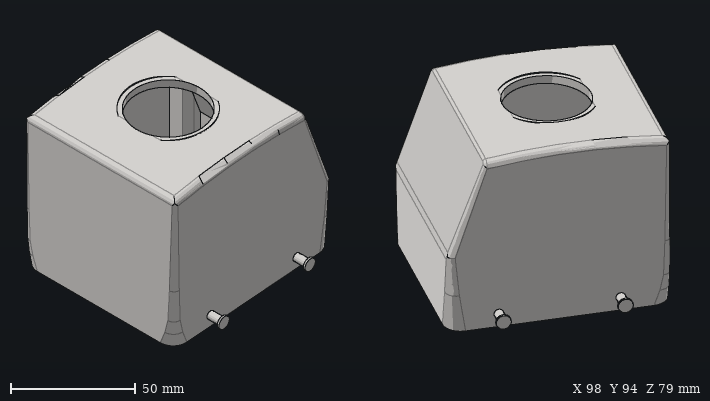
import cadquery as cq
import math

OVERALL_LENGTH = 98.0
BODY_WIDTH = 82.7
BASE_DEPTH = 94.0
WALL = 4.0
SIDE_WALL = 3.5

SHOULDER_Y = 46.6
SHOULDER_Z = 34.3
SHOULDER_RADIUS = 9.8
SLOPE_ANGLE = 20.2
FRONT_DRAFT = 0.7
ROOF_PEAK_Z = 79.0
ROOF_PEAK_Y = -5.9
ROOF_RADIUS = 299.9

ROOF_EDGE_RADIUS = 3.0
REAR_ROOF_RADIUS = 1.5

FRONT_CORNERS = ((0, 7.6), (6.9, 5.1), (13.7, 3.5), (29.4, 2.8), (ROOF_PEAK_Z, 1.6))
REAR_CORNERS = ((0, 7.6), (16.7, 4.9), (SHOULDER_Z, 2.9), (ROOF_PEAK_Z, 1.6))

ENTRY_DIAMETER = 37.0
SPOT_FACE_DIAMETER = 41.4
SPOT_FACE_DEPTH = 0.5

PILLAR_WIDTH = 10.5
PILLAR_FRONT_Y = 35.6
PILLAR_RADIUS = 3.3

PIN_DIAMETER = 4.0
PIN_HEAD_DIAMETER = 6.3
PIN_HEAD_THICKNESS = 1.0
PIN_Y = 25.5
PIN_Z = 6.1
PIN_ROOT = SIDE_WALL / 2

CUT_MARGIN = 1.0

HALF_WIDTH = BODY_WIDTH / 2
HALF_DEPTH = BASE_DEPTH / 2
SLOPE_RUN = math.tan(math.radians(SLOPE_ANGLE))


def roof_z(y):
    """Height of the crowned roof at a given Y."""
    centre_z = ROOF_PEAK_Z - ROOF_RADIUS
    return centre_z + math.sqrt(ROOF_RADIUS**2 - (y - ROOF_PEAK_Y) ** 2)


def front_y(z):
    """Y of the drafted front wall at a given height."""
    return -HALF_DEPTH + FRONT_DRAFT * z / ROOF_PEAK_Z


def slope_y(z):
    """Y of the rear slope at a given height."""
    return SHOULDER_Y - SLOPE_RUN * (z - SHOULDER_Z)


def rear_y(z):
    """Y of the rear wall: drafted up to the shoulder, sloped above it."""
    if z > SHOULDER_Z:
        return slope_y(z)
    return HALF_DEPTH + (SHOULDER_Y - HALF_DEPTH) * z / SHOULDER_Z


def meet_roof(wall_y):
    """Point where a wall runs into the roof, closed in on by repetition."""
    z = ROOF_PEAK_Z
    for _ in range(20):
        z = roof_z(wall_y(z))
    return wall_y(z), z


ROOF_FRONT = meet_roof(front_y)
ROOF_REAR = meet_roof(slope_y)


def side_prism(wall=0, side_wall=0):
    """Hood shape with square edges, moved inward by the given walls except at the base."""
    bottom_z = -wall
    outline = (
        cq.Workplane("YZ")
        .moveTo(front_y(bottom_z), bottom_z)
        .lineTo(*ROOF_FRONT)
        .threePointArc((ROOF_PEAK_Y, ROOF_PEAK_Z), ROOF_REAR)
        .lineTo(SHOULDER_Y, SHOULDER_Z)
        .lineTo(rear_y(bottom_z), bottom_z)
        .close()
    )
    if wall:
        outline = outline.offset2D(-wall, "intersection")
    return outline.extrude(HALF_WIDTH - side_wall, both=True)


def edge_near(solid, y, z):
    """The edge along X that lies closest to a point of the side profile."""
    return solid.edges("|X").edges(cq.NearestToPointSelector((0, y, z)))


def make_block():
    """Solid hood with its shoulder and roof edges rounded."""
    block = side_prism()
    block = edge_near(block, SHOULDER_Y, SHOULDER_Z).fillet(SHOULDER_RADIUS)
    front_edge = edge_near(block, *ROOF_FRONT)
    crown_edges = block.edges(cq.selectors.RadiusNthSelector(-1))
    block = block.newObject(front_edge.vals() + crown_edges.vals()).fillet(ROOF_EDGE_RADIUS)
    return edge_near(block, *ROOF_REAR).fillet(REAR_ROOF_RADIUS)


def corner_section(wall_y, z, radius):
    """Waste outside a rounded corner at one height, on the +X side."""
    outward = math.copysign(1, wall_y)
    tangent_x = HALF_WIDTH - radius
    tangent_y = wall_y - outward * radius
    diagonal = radius * math.sqrt(0.5)
    arc_middle = (tangent_x + diagonal, tangent_y + outward * diagonal)
    clear_x = HALF_WIDTH + CUT_MARGIN
    clear_y = wall_y + outward * CUT_MARGIN
    return (
        cq.Workplane("XY", origin=(0, 0, z))
        .moveTo(tangent_x, wall_y)
        .threePointArc(arc_middle, (HALF_WIDTH, tangent_y))
        .lineTo(clear_x, tangent_y)
        .lineTo(clear_x, clear_y)
        .lineTo(tangent_x, clear_y)
        .close()
        .val()
    )


def corner_waste(wall_y, stations):
    """Tapering waste along one vertical corner: wide at the base, narrow at the roof."""
    sections = [corner_section(wall_y(z), z, radius) for z, radius in stations]
    return cq.Workplane(obj=cq.Solid.makeLoft(sections, ruled=True))


def round_corners(block):
    """Block with its four vertical corners rounded."""
    front_waste = corner_waste(front_y, FRONT_CORNERS)
    rear_waste = corner_waste(rear_y, REAR_CORNERS)
    for waste in (front_waste, rear_waste):
        block = block.cut(waste).cut(waste.mirror("YZ"))
    return block


def make_pillar():
    """Post in the rear +X inner corner with its free edge rounded."""
    depth = HALF_DEPTH - PILLAR_FRONT_Y
    return (
        cq.Workplane("XY", origin=(HALF_WIDTH - SIDE_WALL, PILLAR_FRONT_Y, 0))
        .rect(-PILLAR_WIDTH, depth, centered=False)
        .extrude(ROOF_PEAK_Z)
        .edges("|Z and <X and <Y")
        .fillet(PILLAR_RADIUS)
    )


def make_cavity():
    """Inside of the hood, open at the bottom, less the two rear pillars."""
    pillar = make_pillar()
    return side_prism(WALL, SIDE_WALL).cut(pillar).cut(pillar.mirror("YZ"))


def cut_entry(hood):
    """Cable hole through the roof with a shallow spot face on the crown."""
    floor_z = ROOF_PEAK_Z - SPOT_FACE_DEPTH
    hole = (
        cq.Workplane("XY", origin=(0, ROOF_PEAK_Y, floor_z))
        .circle(ENTRY_DIAMETER / 2)
        .extrude(-2 * WALL)
    )
    spot_face = (
        cq.Workplane("XY", origin=(0, ROOF_PEAK_Y, floor_z))
        .circle(SPOT_FACE_DIAMETER / 2)
        .extrude(2 * SPOT_FACE_DEPTH)
    )
    return hood.cut(hole).cut(spot_face)


def make_pin(y):
    """Headed locking pin on the +X side."""
    root_x = HALF_WIDTH - PIN_ROOT
    head_x = OVERALL_LENGTH / 2 - PIN_HEAD_THICKNESS
    shank = (
        cq.Workplane("YZ", origin=(root_x, y, PIN_Z))
        .circle(PIN_DIAMETER / 2)
        .extrude(head_x - root_x)
    )
    return shank.faces(">X").workplane().circle(PIN_HEAD_DIAMETER / 2).extrude(PIN_HEAD_THICKNESS)


def add_pins(hood):
    """Hood with two pins on each side."""
    for y in (-PIN_Y, PIN_Y):
        pin = make_pin(y)
        hood = hood.union(pin).union(pin.mirror("YZ"))
    return hood


hood = round_corners(make_block())
hood = cut_entry(hood.cut(make_cavity()))
result = add_pins(hood)